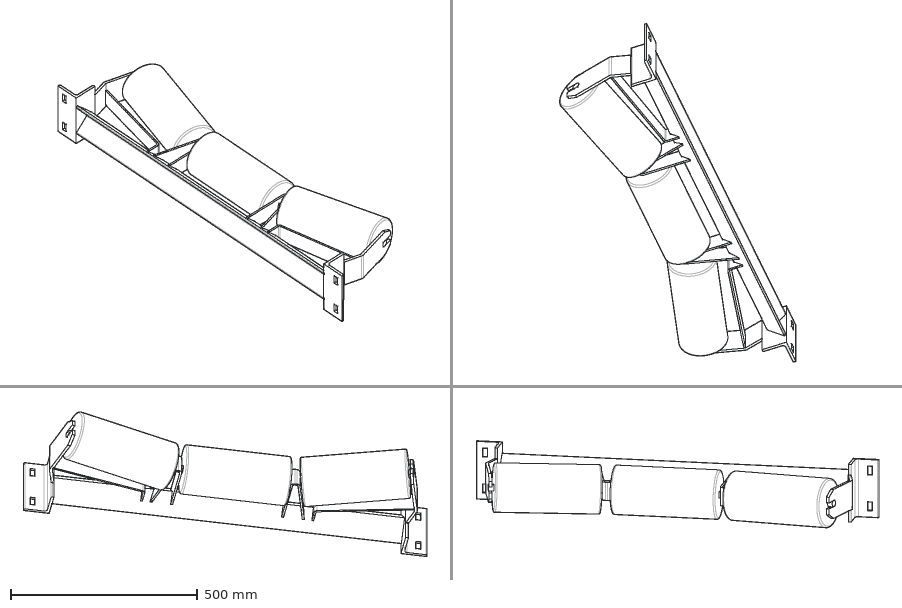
import cadquery as cq
import math


OVERALL_LENGTH = 1100.0
LEG_LENGTH = 70.0
LEG_THICKNESS = 8.0
ROOT_RADIUS = 8.0
TOE_RADIUS = 3.0
BEAM_END_X = OVERALL_LENGTH / 2 - LEG_LENGTH
RIDGE_Y = (LEG_LENGTH + LEG_THICKNESS) / math.sqrt(2)

FOOT_HEIGHT = 160.0
SLOT_LENGTH = 24.0
SLOT_WIDTH = 13.0
SLOT_X = 526.0
SLOT_Z = 50.0

ROLLER_DIAMETER = 133.0
ROLLER_LENGTH = 287.0
ROLLER_FILLET = 4.0
SHAFT_DIAMETER = 20.0
SHAFT_FLATS = 16.0
MIDDLE_AXIS_Y = 153.0
TROUGH_ANGLE = 15.0
FORWARD_TILT = 2.0
SIDE_CENTER_X = 320.0
SIDE_CENTER_Y = 194.0
TROUGH_COSINE = math.cos(math.radians(TROUGH_ANGLE))
TROUGH_SINE = math.sin(math.radians(TROUGH_ANGLE))
TROUGH_SLOPE = TROUGH_SINE / TROUGH_COSINE
SIDE_CENTER_Z = ROLLER_LENGTH / 2 * math.sin(math.radians(FORWARD_TILT))

STRIP_WIDTH = 80.0
STRIP_CENTER_Z = 10.0
STRIP_BEND_Y = 124.0
STRIP_BEND_RADIUS = 13.0
STRIP_TIP_Y = 263.0
TIP_CHAMFER_Y = 28.0
TIP_CHAMFER_Z = 16.0

SUPPORT_WIDTH = 51.0
BRACE_THICKNESS = 5.0
BRACE_KNEE_X = 231.0
BRACE_KNEE_Y = 73.0
BRACE_ANGLE = 12.0
BRACE_RADIUS = 8.0

INNER_THICKNESS = 5.0
INNER_UPRIGHT_X = 148.0
INNER_TOP_Y = 176.0
INNER_TOP_WIDTH = 23.0
INNER_RADIUS = 10.0

STRIP_FOOT_X = BEAM_END_X + LEG_THICKNESS
STRIP_BEND_X = STRIP_FOOT_X + (STRIP_BEND_Y - LEG_LENGTH) * TROUGH_SLOPE
STRIP_TIP_X = STRIP_BEND_X - (STRIP_TIP_Y - STRIP_BEND_Y) * TROUGH_SLOPE
STRIP_RUN = LEG_THICKNESS / TROUGH_COSINE

INNER_LEAN_X = INNER_UPRIGHT_X + INNER_TOP_WIDTH


def axial_reach(x, y):
    """Distance of a point in XY from the side roller centre, along the inclined axis."""
    return (x - SIDE_CENTER_X) * TROUGH_COSINE + (y - SIDE_CENTER_Y) * TROUGH_SINE


SIDE_OUTER_REACH = axial_reach(STRIP_TIP_X, STRIP_TIP_Y)
SIDE_INNER_REACH = axial_reach(INNER_LEAN_X, INNER_TOP_Y) - INNER_THICKNESS
MIDDLE_REACH = INNER_UPRIGHT_X + INNER_THICKNESS


def fillet_edge(body, direction, near_point, radius):
    """Round the edge along the given axis that lies closest to near_point."""
    nearest = cq.selectors.NearestToPointSelector(near_point)
    return body.edges(direction).edges(nearest).fillet(radius)


def prism(points, width, center_z=0.0):
    """Extrude an XY outline along Z, centred on center_z."""
    plane = cq.Workplane("XY", origin=(0, 0, center_z))
    return plane.polyline(points).close().extrude(width / 2, both=True)


def make_beam():
    """Angle section with its ridge toward +Y and its toes toward -Y."""
    angle = (
        cq.Workplane("YZ")
        .polyline([
            (0, 0),
            (LEG_LENGTH, 0),
            (LEG_LENGTH, LEG_THICKNESS),
            (LEG_THICKNESS, LEG_THICKNESS),
            (LEG_THICKNESS, LEG_LENGTH),
            (0, LEG_LENGTH),
        ])
        .close()
        .extrude(BEAM_END_X, both=True)
    )
    angle = fillet_edge(angle, "|X", (0, LEG_THICKNESS, LEG_THICKNESS), ROOT_RADIUS)
    for toe in ((0, LEG_LENGTH, LEG_THICKNESS), (0, LEG_THICKNESS, LEG_LENGTH)):
        angle = fillet_edge(angle, "|X", toe, TOE_RADIUS)
    return angle.rotate((0, 0, 0), (1, 0, 0), 135).translate((0, RIDGE_Y, 0))


def make_beam_saddle():
    """Everything below the two outer faces of the beam, used to cut saddles in parts welded on it."""
    return (
        cq.Workplane("YZ")
        .polyline([(RIDGE_Y, 0), (-RIDGE_Y, 2 * RIDGE_Y), (-RIDGE_Y, -2 * RIDGE_Y)])
        .close()
        .extrude(BEAM_END_X, both=True)
    )


def make_shaft(inner_end, outer_end):
    """Round shaft along X with two flats facing +Z and -Z."""
    length = outer_end - inner_end
    flats = cq.Workplane("XY").box(length, SHAFT_DIAMETER, SHAFT_FLATS).translate(
        ((inner_end + outer_end) / 2, 0, 0)
    )
    bar = cq.Workplane("YZ", origin=(inner_end, 0, 0)).circle(SHAFT_DIAMETER / 2).extrude(length)
    return bar.intersect(flats)


def make_roller(inner_end, outer_end):
    """Roller centred on the origin with its shaft, axis along X."""
    end_plane = cq.Workplane("YZ", origin=(-ROLLER_LENGTH / 2, 0, 0))
    barrel = end_plane.circle(ROLLER_DIAMETER / 2).extrude(ROLLER_LENGTH)
    return barrel.faces("|X").edges().fillet(ROLLER_FILLET).union(make_shaft(inner_end, outer_end))


def place_on_side(body):
    """Move a body from the origin to the inclined axis of the +X side roller."""
    tilted = body.rotate((0, 0, 0), (0, 1, 0), -FORWARD_TILT).rotate((0, 0, 0), (0, 0, 1), TROUGH_ANGLE)
    return tilted.translate((SIDE_CENTER_X, SIDE_CENTER_Y, SIDE_CENTER_Z))


def make_foot():
    """Short angle with slotted mounting flange on Y = 0 and an upright against the beam end."""
    outer_x = OVERALL_LENGTH / 2
    foot = prism(
        [
            (BEAM_END_X, 0),
            (outer_x, 0),
            (outer_x, LEG_THICKNESS),
            (STRIP_FOOT_X, LEG_THICKNESS),
            (STRIP_FOOT_X, LEG_LENGTH),
            (BEAM_END_X, LEG_LENGTH),
        ],
        FOOT_HEIGHT,
    )
    foot = fillet_edge(foot, "|Z", (STRIP_FOOT_X, LEG_THICKNESS, 0), ROOT_RADIUS)
    for toe in ((outer_x, LEG_THICKNESS, 0), (STRIP_FOOT_X, LEG_LENGTH, 0)):
        foot = fillet_edge(foot, "|Z", toe, TOE_RADIUS)
    slots = (
        cq.Workplane("XZ")
        .pushPoints([(SLOT_X, SLOT_Z), (SLOT_X, -SLOT_Z)])
        .rect(SLOT_WIDTH, SLOT_LENGTH)
        .extrude(-LEG_THICKNESS)
    )
    return foot.cut(slots)


def make_strip():
    """Bent strip whose chamfered tip holds the outer shaft end in an open slot."""
    bent = prism(
        [
            (STRIP_FOOT_X, LEG_LENGTH),
            (STRIP_BEND_X, STRIP_BEND_Y),
            (STRIP_TIP_X, STRIP_TIP_Y),
            (STRIP_TIP_X - LEG_THICKNESS * TROUGH_COSINE, STRIP_TIP_Y - LEG_THICKNESS * TROUGH_SINE),
            (STRIP_BEND_X - STRIP_RUN, STRIP_BEND_Y),
            (STRIP_FOOT_X - STRIP_RUN, LEG_LENGTH),
        ],
        STRIP_WIDTH,
        STRIP_CENTER_Z,
    )
    bend_inside = (STRIP_BEND_X - STRIP_RUN, STRIP_BEND_Y, STRIP_CENTER_Z)
    bent = fillet_edge(bent, "|Z", (STRIP_BEND_X, STRIP_BEND_Y, STRIP_CENTER_Z), STRIP_BEND_RADIUS)
    bent = fillet_edge(bent, "|Z", bend_inside, STRIP_BEND_RADIUS - LEG_THICKNESS)
    half = STRIP_WIDTH / 2
    face = (
        cq.Workplane("YZ", origin=(0, 0, STRIP_CENTER_Z))
        .polyline([
            (0, half),
            (STRIP_TIP_Y - TIP_CHAMFER_Y, half),
            (STRIP_TIP_Y, half - TIP_CHAMFER_Z),
            (STRIP_TIP_Y, TIP_CHAMFER_Z - half),
            (STRIP_TIP_Y - TIP_CHAMFER_Y, -half),
            (0, -half),
        ])
        .close()
        .extrude(OVERALL_LENGTH / 2)
    )
    slot_mouth = cq.Workplane("XY").box(
        SIDE_OUTER_REACH + LEG_THICKNESS, STRIP_TIP_Y, SHAFT_FLATS, centered=(False, False, True)
    )
    shaft_seat = make_shaft(0, SIDE_OUTER_REACH + LEG_THICKNESS)
    return bent.intersect(face).cut(place_on_side(slot_mouth)).cut(place_on_side(shaft_seat))


def make_brace():
    """Sloped flat bar from the strip bend to a knee, then straight down to the beam."""
    slope = math.tan(math.radians(BRACE_ANGLE))
    drop = BRACE_THICKNESS / math.cos(math.radians(BRACE_ANGLE))
    start_x = STRIP_BEND_X - STRIP_RUN / 2
    start_y = BRACE_KNEE_Y + (start_x - BRACE_KNEE_X) * slope
    inside_x = BRACE_KNEE_X + BRACE_THICKNESS
    inside_y = BRACE_KNEE_Y + BRACE_THICKNESS * slope - drop
    brace = prism(
        [
            (BRACE_KNEE_X, 0),
            (BRACE_KNEE_X, BRACE_KNEE_Y),
            (start_x, start_y),
            (start_x, start_y - drop),
            (inside_x, inside_y),
            (inside_x, 0),
        ],
        SUPPORT_WIDTH,
    )
    brace = fillet_edge(brace, "|Z", (BRACE_KNEE_X, BRACE_KNEE_Y, 0), BRACE_RADIUS)
    brace = fillet_edge(brace, "|Z", (inside_x, inside_y, 0), BRACE_RADIUS - BRACE_THICKNESS)
    return brace.cut(make_beam_saddle())


def make_end_bracket():
    """Foot, strip and brace of the +X end in one piece."""
    return make_foot().union(make_strip()).union(make_brace())


def make_inner_bracket():
    """Hairpin on the +X side: upright leg, short top and a leg leaning along the side roller end."""

    def hairpin(upright_x, lean_x, top_y, radius):
        lean_foot_x = lean_x + top_y * TROUGH_SLOPE
        corners = [(upright_x, 0), (upright_x, top_y), (lean_x, top_y), (lean_foot_x, 0)]
        return prism(corners, SUPPORT_WIDTH).edges("|Z and >Y").fillet(radius)

    inside_top_y = INNER_TOP_Y - INNER_THICKNESS
    inside_lean_x = INNER_LEAN_X + INNER_THICKNESS * TROUGH_SLOPE - INNER_THICKNESS / TROUGH_COSINE
    outside = hairpin(INNER_UPRIGHT_X, INNER_LEAN_X, INNER_TOP_Y, INNER_RADIUS)
    inside = hairpin(
        INNER_UPRIGHT_X + INNER_THICKNESS, inside_lean_x, inside_top_y, INNER_RADIUS - INNER_THICKNESS
    )
    return outside.cut(inside).cut(make_beam_saddle())


beam = make_beam()
middle_roller = make_roller(-MIDDLE_REACH, MIDDLE_REACH).translate((0, MIDDLE_AXIS_Y, 0))
side_roller = place_on_side(make_roller(SIDE_INNER_REACH, SIDE_OUTER_REACH))
end_bracket = make_end_bracket()
inner_bracket = make_inner_bracket().cut(middle_roller).cut(side_roller)

solids = [beam.solids().val(), middle_roller.solids().val()]
for body in (side_roller, end_bracket, inner_bracket):
    for copy in (body, body.mirror("YZ")):
        solids.append(copy.solids().val())

result = cq.Compound.makeCompound(solids)